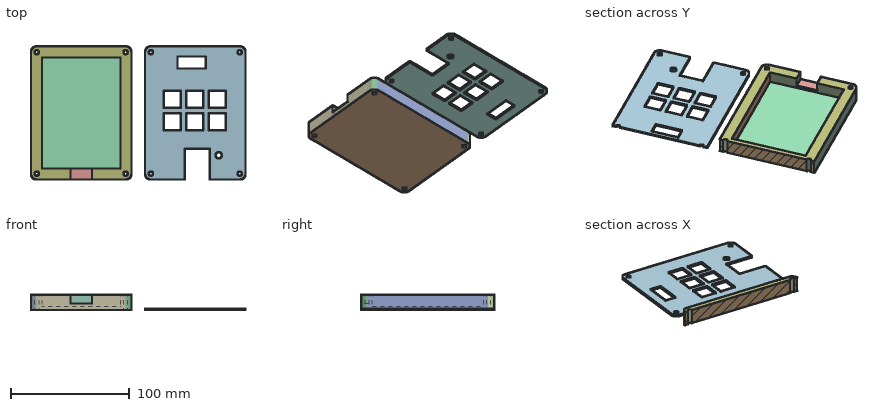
import cadquery as cq

total_length = 181.3
panel_width = 85.0
panel_depth = 112.6
corner_radius = 5.0
screw_hole_diameter = 3.5
screw_inset = corner_radius

case_height = 13.0
wall = 9.5
pocket_depth = 10.2
cable_notch_width = 18.3
cable_notch_depth = 7.6

cover_thickness = 1.5
cover_left = total_length - panel_width

display_width = 23.5
display_height = 10.0
display_x = 39.3
display_y = 98.8

key_size = 14.1
key_pitch = 19.0
key_columns = 3
key_rows = 2
keypad_x = 42.0
keypad_y = 58.4

front_slot_width = 20.9
front_slot_depth = 26.0
front_slot_x = 44.0

round_hole_diameter = 5.0
round_hole_x = 62.2
round_hole_y = 20.5


def make_panel(thickness):
    """Rounded rectangular slab with a screw hole through each corner, front left corner at the origin."""
    slab = (
        cq.Workplane("XY")
        .box(panel_width, panel_depth, thickness, centered=False)
        .edges("|Z")
        .fillet(corner_radius)
    )
    screw_holes = (
        cq.Workplane("XY")
        .center(panel_width / 2, panel_depth / 2)
        .rect(panel_width - 2 * screw_inset, panel_depth - 2 * screw_inset, forConstruction=True)
        .vertices()
        .circle(screw_hole_diameter / 2)
        .extrude(thickness)
    )
    return slab.cut(screw_holes)


def make_case():
    """Tray with a rectangular pocket, open at the top, and a cable notch through the front wall."""
    pocket = (
        cq.Workplane("XY")
        .box(panel_width - 2 * wall, panel_depth - 2 * wall, pocket_depth, centered=False)
        .translate((wall, wall, case_height - pocket_depth))
    )
    cable_notch = (
        cq.Workplane("XY")
        .box(cable_notch_width, wall, cable_notch_depth, centered=False)
        .translate(((panel_width - cable_notch_width) / 2, 0, case_height - cable_notch_depth))
    )
    return make_panel(case_height).cut(pocket).cut(cable_notch)


def make_cover():
    """Thin plate with a display window, a grid of key openings, a front slot and a round hole."""
    base = cq.Workplane("XY")
    display_window = (
        base.center(display_x, display_y)
        .rect(display_width, display_height)
        .extrude(cover_thickness)
    )
    key_openings = (
        base.center(keypad_x, keypad_y)
        .rarray(key_pitch, key_pitch, key_columns, key_rows)
        .rect(key_size, key_size)
        .extrude(cover_thickness)
    )
    front_slot = (
        base.center(front_slot_x, front_slot_depth / 2)
        .rect(front_slot_width, front_slot_depth)
        .extrude(cover_thickness)
    )
    round_hole = (
        base.center(round_hole_x, round_hole_y)
        .circle(round_hole_diameter / 2)
        .extrude(cover_thickness)
    )
    plate = make_panel(cover_thickness)
    for opening in (display_window, key_openings, front_slot, round_hole):
        plate = plate.cut(opening)
    return plate.translate((cover_left, 0, 0))


case = make_case()
cover = make_cover()

result = cq.Compound.makeCompound([case.solids().val(), cover.solids().val()])